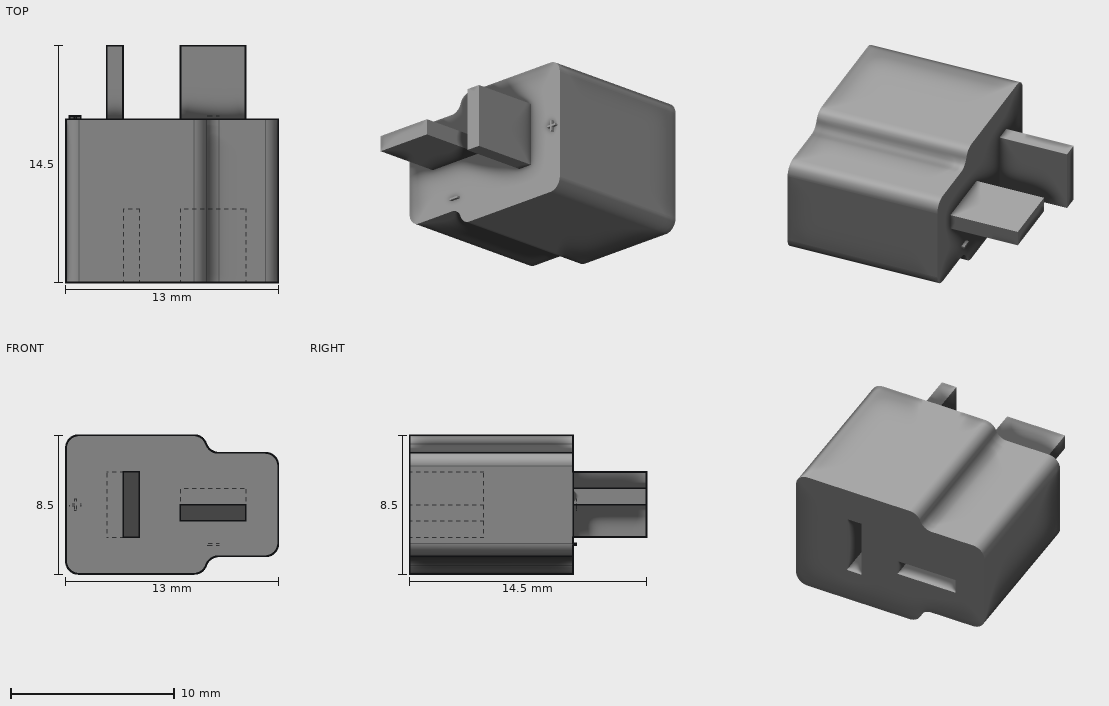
import cadquery as cq
import math

length = 13.0
depth = 10.0
height = 8.5
step = 1.08
step_start = 7.83
radius = 0.8

contact_length = 4.5
contact_width = 4.0
contact_thickness = 1.0

mark_size = 0.7
mark_stroke = 0.12
mark_height = 0.2

left = -length / 2
right = length / 2
front = -depth / 2
back = depth / 2
half_height = height / 2
narrow_half_height = half_height - step

upright_x = left + 4.0
flat_x = left + 9.0

upright_slot = (upright_x, 0.0, contact_thickness, contact_width)
flat_slot = (flat_x, -contact_thickness / 2, contact_width, contact_thickness)
upright_blade = (upright_x - contact_thickness, 0.0, contact_thickness, contact_width)
flat_blade = (flat_x, contact_thickness / 2, contact_width, contact_thickness)

plus_x = left + 0.57
minus_x = flat_x
minus_z = -2.43
mark_bars = [
    (plus_x, 0.0, mark_size, mark_stroke),
    (plus_x, 0.0, mark_stroke, mark_size),
    (minus_x, minus_z, mark_size, mark_stroke),
]


def bar(rectangle, y_start, y_end):
    """Box with the given XZ rectangle, running from y_start to y_end."""
    x, z, size_x, size_z = rectangle
    size_y = y_end - y_start
    return cq.Workplane("XY").box(size_x, size_y, size_z).translate((x, (y_start + y_end) / 2, z))


def make_upper_half():
    """Upper half of the housing, its step made of two equal tangent arcs."""
    arc_drop = step / 2
    arc_run = math.sqrt(radius**2 - (radius - arc_drop) ** 2)
    step_x = left + step_start
    step_middle = (step_x + arc_run, half_height - arc_drop)
    step_end = (step_x + 2 * arc_run, narrow_half_height)
    return (
        cq.Workplane("XZ", origin=(0, back, 0))
        .moveTo(left, 0)
        .lineTo(left, half_height - radius)
        .radiusArc((left + radius, half_height), radius)
        .lineTo(step_x, half_height)
        .radiusArc(step_middle, radius)
        .radiusArc(step_end, -radius)
        .lineTo(right - radius, narrow_half_height)
        .radiusArc((right, narrow_half_height - radius), radius)
        .lineTo(right, 0)
        .close()
        .extrude(depth)
    )


def make_housing():
    """Housing symmetric about the XY plane."""
    upper_half = make_upper_half()
    return upper_half.union(upper_half.mirror("XY")).clean()


result = make_housing()
for slot in (upright_slot, flat_slot):
    result = result.cut(bar(slot, front, front + contact_length))
for blade in (upright_blade, flat_blade):
    result = result.union(bar(blade, back, back + contact_length))
for mark_bar in mark_bars:
    result = result.union(bar(mark_bar, back, back + mark_height))